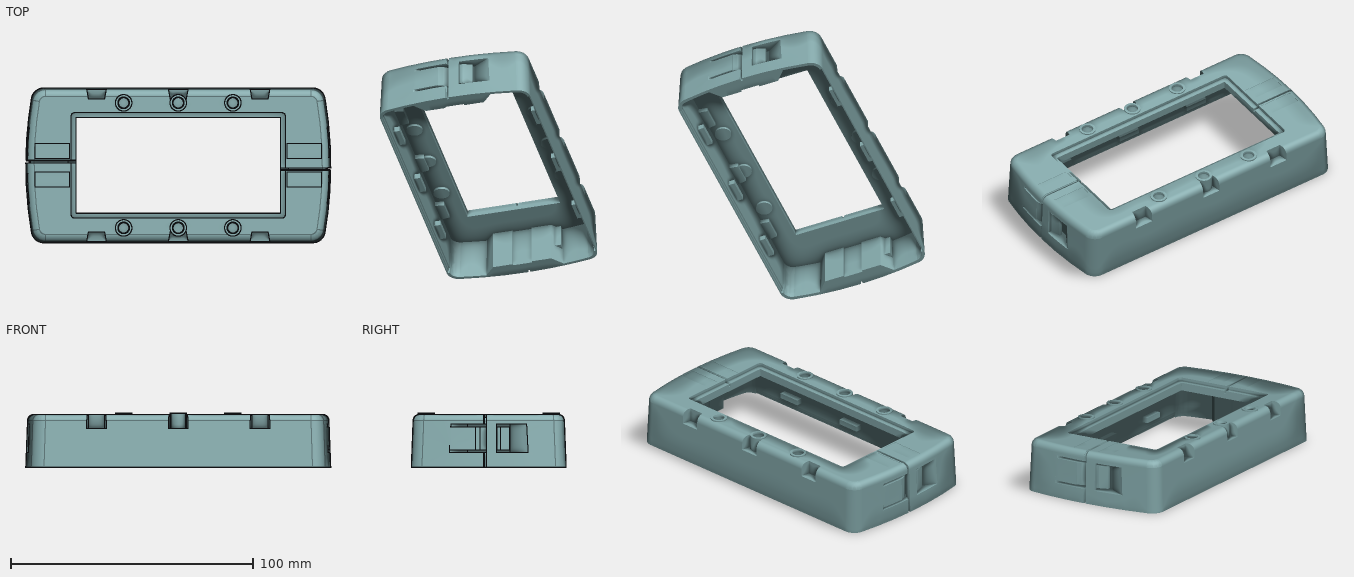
import cadquery as cq

LENGTH = 126.0
WIDTH = 64.0
TOTAL_HEIGHT = 22.5
RING_RISE = 0.5
TOP_Z = TOTAL_HEIGHT - RING_RISE
DRAFT_ANGLE = 2.2
END_BOW = 3.1
CORNER_RADIUS = 5.3
TOP_FILLET = 2.8
PLINTH_HEIGHT = 0.4

WALL = 1.3
ROOF = 4.8

WINDOW_LENGTH = 84.4
WINDOW_WIDTH = 39.4
REBATE_BORDER = 2.0
REBATE_DEPTH = 1.5
REBATE_RADIUS = 1.3

SEAM_Y = 1.0
GROOVE_WIDTH = 0.8
GROOVE_DEPTH = 1.3
LEDGE_WIDTH = 0.4
LEDGE_DEPTH = 0.3

NOTCH_PITCH = 33.8
NOTCH_FLOOR_Z = 16.2
NOTCH_OUTER_WIDTH = 8.2
NOTCH_INNER_WIDTH = 6.7
NOTCH_INNER_Y = 27.5
NOTCH_OUTER_Y = 31.6
NOTCH_SHELL = 1.0

RING_PITCH = 22.5
RING_Y = 25.8
RING_OUTER_RADIUS = 3.4
RING_INNER_RADIUS = 2.4
RING_FLOOR_RADIUS = 2.1
RING_RECESS = 1.0

LUG_LENGTH = 9.6
LUG_INNER_Y = 28.0
LUG_TOP_Z = 7.4
LUG_HEIGHT = 2.3

FOOT_LENGTH = 110.8
FOOT_STEP = 0.4
FOOT_STEP_HEIGHT = 1.3
FOOT_STEPS = 2

LABEL_INNER_X = 45.0
LABEL_OUTER_X = 59.2
LABEL_WIDTH = 6.2
LABEL_Y = 5.9
LABEL_DEPTH = 0.1

POCKET_BOTTOM_Z = 6.2
POCKET_TOP_Z = 18.0
POCKET_FLOOR_X = 57.4
POCKET_FLOOR_HALF = 8.8
POCKET_MOUTH_X = 61.8
POCKET_MOUTH_HALF = 16.1
BRIDGE_INNER_X = 60.5
BRIDGE_END_Y = -3.3

BACKING_X = 56.0
BACKING_HALF = 12.3
BACKING_MOUTH_X = 61.0
BACKING_MOUTH_HALF = 16.6
RELIEF_X = 56.8
RELIEF_HALF = 4.0

ARM_CLEARANCE = 1.1
ARM_BEND_X = 62.2
ARM_BEND_Y = 5.5
ARM_SLOPE_X = 61.8
ARM_SLOPE_Y = 3.7
ARM_NECK_X = 60.2
ARM_INNER_X = 59.2
BARB_X = 61.7
BARB_START_Y = -3.4
BARB_CREST_Y = -4.8
TIP_X = 60.5
TIP_Y = -8.6


def box(x_range, y_range, z_range):
    """Box spanning the given (low, high) ranges."""
    size = [high - low for low, high in (x_range, y_range, z_range)]
    return cq.Workplane("XY").box(*size, centered=False).translate((x_range[0], y_range[0], z_range[0]))


def centred_box(length, width, z_range):
    return box((-length / 2, length / 2), (-width / 2, width / 2), z_range)


def drafted_blank(inset, height, top_fillet):
    """Solid block with bowed ends, drafted sides and rounded corners."""
    half_length = LENGTH / 2 - inset
    corner_x = half_length - END_BOW
    half_width = WIDTH / 2 - inset
    outline = (
        cq.Workplane("XY")
        .moveTo(-corner_x, -half_width)
        .lineTo(corner_x, -half_width)
        .threePointArc((half_length, 0), (corner_x, half_width))
        .lineTo(-corner_x, half_width)
        .threePointArc((-half_length, 0), (-corner_x, -half_width))
        .close()
    )
    blank = outline.extrude(height - PLINTH_HEIGHT, taper=DRAFT_ANGLE).translate((0, 0, PLINTH_HEIGHT))
    blank = blank.faces("not(<Z or >Z)").edges("not(<Z or >Z)").fillet(CORNER_RADIUS - inset)
    plinth = blank.faces("<Z").wires().toPending().extrude(-PLINTH_HEIGHT, combine=False)
    if top_fillet > 0:
        blank = blank.faces(">Z").edges().fillet(top_fillet)
    return blank.union(plinth)


def rounded_body(inset):
    """Outer form with its rebated window; inset moves the outside and the rebate into the material."""
    body = drafted_blank(inset, TOP_Z - inset, TOP_FILLET - inset)
    window = centred_box(WINDOW_LENGTH, WINDOW_WIDTH, (0, TOP_Z))
    rebate_border = 2 * (REBATE_BORDER + inset)
    rebate = centred_box(
        WINDOW_LENGTH + rebate_border,
        WINDOW_WIDTH + rebate_border,
        (TOP_Z - REBATE_DEPTH - inset, TOP_Z),
    ).edges("|Z").fillet(REBATE_RADIUS + inset)
    return body.cut(window).cut(rebate)


def end_trapezoid(floor_x, floor_half, mouth_x, mouth_half):
    """Plan of a trapezoid at the -X end, widening outward from its floor and past the end face."""
    slope = (mouth_half - floor_half) / (mouth_x - floor_x)
    far_x = LENGTH / 2 + END_BOW
    far_half = floor_half + slope * (far_x - floor_x)
    return cq.Workplane("XY").polyline([
        (-floor_x, -floor_half), (-floor_x, floor_half), (-far_x, far_half), (-far_x, -far_half),
    ]).close()


def notch_outline(wall):
    """Plan of a +Y edge notch, grown by wall."""
    spread = (NOTCH_OUTER_WIDTH - NOTCH_INNER_WIDTH) / (NOTCH_OUTER_Y - NOTCH_INNER_Y) / 2
    inner_half = NOTCH_INNER_WIDTH / 2 + wall
    far_half = inner_half + spread * (WIDTH / 2 - NOTCH_INNER_Y)
    return cq.Workplane("XY").polyline([
        (-inner_half, NOTCH_INNER_Y - wall), (inner_half, NOTCH_INNER_Y - wall),
        (far_half, WIDTH / 2), (-far_half, WIDTH / 2),
    ]).close()


def ring_column(radius, z_low, z_high, x):
    return cq.Workplane("XY").workplane(offset=z_low).center(x, RING_Y).circle(radius).extrude(z_high - z_low)


def ring_recess(x):
    """Shallow recess in the top of a ring, narrowing toward its floor."""
    cone = cq.Solid.makeCone(RING_FLOOR_RADIUS, RING_INNER_RADIUS, RING_RECESS)
    return cq.Workplane(cone).translate((x, RING_Y, TOTAL_HEIGHT - RING_RECESS))


def turned(shape):
    return shape.rotate((0, 0, 0), (0, 0, 1), 180)


def hollow_shell(outer):
    """Outer form hollowed from below, with backing walls at the ends and stepped feet on the long walls."""
    cavity = drafted_blank(WALL, TOP_Z - ROOF, 0)
    backing = end_trapezoid(BACKING_X, BACKING_HALF, BACKING_MOUTH_X, BACKING_MOUTH_HALF).extrude(TOP_Z)
    backing = backing.cut(box((-RELIEF_X, 0), (-RELIEF_HALF, RELIEF_HALF), (0, TOP_Z)))
    cavity = cavity.cut(backing).cut(turned(backing))
    shell = outer.cut(cavity)
    inner_y = WIDTH / 2 - WALL
    for step in range(1, FOOT_STEPS + 1):
        reach = 2 * (inner_y + step * FOOT_STEP)
        shell = shell.cut(centred_box(FOOT_LENGTH, reach, (0, (FOOT_STEPS + 1 - step) * FOOT_STEP_HEIGHT)))
    return shell


def add_edge_features(shell, outer):
    """Notches, lugs and rings along the +Y side."""
    for step in (-1, 0, 1):
        x = step * NOTCH_PITCH
        shroud = notch_outline(NOTCH_SHELL).extrude(TOP_Z - NOTCH_FLOOR_Z + NOTCH_SHELL)
        shroud = shroud.translate((x, 0, NOTCH_FLOOR_Z - NOTCH_SHELL)).intersect(outer)
        notch = notch_outline(0).extrude(TOP_Z).translate((x, 0, NOTCH_FLOOR_Z))
        lug = box(
            (x - LUG_LENGTH / 2, x + LUG_LENGTH / 2),
            (LUG_INNER_Y, WIDTH / 2 - WALL),
            (LUG_TOP_Z - LUG_HEIGHT, LUG_TOP_Z),
        )
        shell = shell.union(shroud).cut(notch).union(lug)
    for step in (-1, 0, 1):
        x = step * RING_PITCH
        shell = shell.union(ring_column(RING_OUTER_RADIUS, NOTCH_FLOOR_Z, TOTAL_HEIGHT, x))
        shell = shell.cut(ring_recess(x))
    return shell


def cut_labels(shell):
    y_range = (LABEL_Y - LABEL_WIDTH / 2, LABEL_Y + LABEL_WIDTH / 2)
    for side in (-1, 1):
        x_range = sorted((side * LABEL_INNER_X, side * LABEL_OUTER_X))
        label = box(x_range, y_range, (TOP_Z - LABEL_DEPTH, TOP_Z))
        shell = shell.cut(label)
    return shell


def cut_pockets(shell):
    """Catch pockets in both ends; the +X one keeps a bridge for the arm of the other half."""
    plan = end_trapezoid(POCKET_FLOOR_X, POCKET_FLOOR_HALF, POCKET_MOUTH_X, POCKET_MOUTH_HALF)
    pocket = plan.extrude(POCKET_TOP_Z - POCKET_BOTTOM_Z).translate((0, 0, POCKET_BOTTOM_Z))
    bridge = box((-LENGTH, -BRIDGE_INNER_X), (BRIDGE_END_Y, SEAM_Y), (0, TOP_Z))
    bridged_pocket = pocket.cut(bridge)
    return shell.cut(pocket).cut(turned(bridged_pocket))


def snap_arm(outer):
    """Arm lying flush in the -X pocket, with a barbed tip reaching past the seam."""
    arm = (
        cq.Workplane("XY")
        .moveTo(-POCKET_FLOOR_X, POCKET_MOUTH_HALF)
        .lineTo(-LENGTH / 2, POCKET_MOUTH_HALF)
        .lineTo(-LENGTH / 2, ARM_BEND_Y)
        .lineTo(-ARM_BEND_X, ARM_BEND_Y)
        .lineTo(-ARM_SLOPE_X, ARM_SLOPE_Y)
        .lineTo(-ARM_NECK_X, SEAM_Y)
        .lineTo(-ARM_NECK_X, BARB_START_Y)
        .lineTo(-BARB_X, BARB_START_Y)
        .lineTo(-BARB_X, BARB_CREST_Y)
        .lineTo(-TIP_X, TIP_Y)
        .lineTo(-ARM_INNER_X, TIP_Y)
        .lineTo(-ARM_INNER_X, SEAM_Y)
        .lineTo(-POCKET_FLOOR_X, SEAM_Y)
        .close()
        .extrude(POCKET_TOP_Z - POCKET_BOTTOM_Z - 2 * ARM_CLEARANCE)
        .translate((0, 0, POCKET_BOTTOM_Z + ARM_CLEARANCE))
    )
    return arm.intersect(outer)


def seam_groove(outer):
    """Stepped groove in the outer skin, on the +Y side of the -X seam."""
    steps = ((GROOVE_WIDTH, GROOVE_DEPTH), (GROOVE_WIDTH + LEDGE_WIDTH, LEDGE_DEPTH))
    groove = cq.Workplane("XY")
    for width, depth in steps:
        skin = outer.cut(rounded_body(depth))
        strip = box((-LENGTH, 0), (SEAM_Y, SEAM_Y + width), (0, TOP_Z))
        groove = groove.union(skin.intersect(strip))
    return groove


def frame_half():
    """The +Y half of the frame, with its snap arm at the -X end."""
    outer = rounded_body(0)
    half = hollow_shell(outer)
    half = half.intersect(
        box((-LENGTH, 0), (SEAM_Y, LENGTH), (0, TOP_Z))
        .union(box((0, LENGTH), (-SEAM_Y, LENGTH), (0, TOP_Z)))
    )
    half = half.cut(seam_groove(outer))
    half = cut_pockets(half)
    half = half.union(snap_arm(outer))
    half = add_edge_features(half, outer)
    return cut_labels(half)


def both_halves():
    """Two identical halves, the second turned half a turn about Z."""
    half = frame_half()
    return [half.rotate((0, 0, 0), (0, 0, 1), angle).val() for angle in (0, 180)]


result = cq.Compound.makeCompound(both_halves())